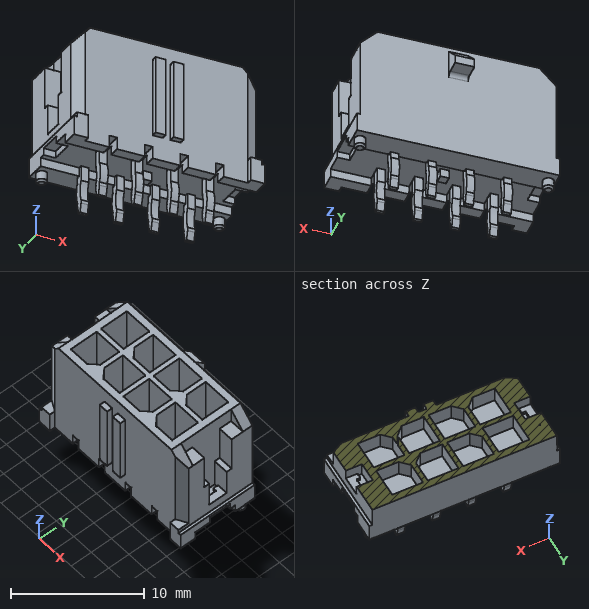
import cadquery as cq
import math


HEIGHT = 9.91
LENGTH = 15.64
DEPTH = 6.87
FRONT_Y = -DEPTH / 2
BACK_Y = DEPTH / 2
HALF_LENGTH = LENGTH / 2
CORE_HALF_LENGTH = 6.455
CORNER_POST_DEPTH = 0.95
SHOULDER_Z = 8.51

CHANNEL_WIDTH = 2.71
CHANNEL_STEP_Z = 5.02
LOWER_CHANNEL_WIDTH = 1.72
CHANNEL_FLOOR_Z = 2.5
CLIP_HOLE_LENGTH = 0.37
CLIP_HOLE_NOTCH_LENGTH = 0.69
CLIP_HOLE_NOTCH_WIDTH = 0.8
CLIP_HOLE_FLOOR_Z = 2.25

CORNER_CHAMFER_X = 0.95
CORNER_CHAMFER_Y = 0.52
FOOT_TOP_Z = 1.98
FRONT_PROJECTION = 0.5

FLANGE_LENGTH = 16.15
FLANGE_TOP_Z = 1.62
UNDERSIDE_CHANNEL_Z = 0.73
UNDERSIDE_CHANNEL_BACK_Y = 1.49
UNDERSIDE_CHANNEL_FRONT_Y = -2.48
FLANGE_NOTCH_WIDTH = 2.0
FLANGE_NOTCH_TOP_Z = 1.3
FLANGE_NOTCH_LENGTH = 1.0
STANDOFF_WIDTH = 0.69

COLUMNS = 4
PITCH = 3.0
CAVITY_SIZE = 2.57
CAVITY_FLOOR_Z = 2.0
CAVITY_CHAMFER = 0.7
BACK_ROW_KEYS = (None, "left", "right", "left")
FRONT_ROW_KEYS = ("right", "left", "right", "left")
PIN_WIDTH = 0.65
PIN_THICKNESS = 0.63
PIN_SLOT_TOP_Z = 1.0
PIN_BEND_TOP_Z = -0.52
PIN_BEND_BOTTOM_Z = -2.19
PIN_TAPER_Z = -2.45
PIN_TIP_Z = -3.18
PIN_BEND = 0.165
PIN_TIP_THICKNESS = 0.28

RIB_WIDTH = 0.85
RIB_SPACING = 1.51

LATCH_WIDTH = 1.54
LATCH_PROJECTION = 1.4
LATCH_TOP_Z = 9.53
LATCH_BOTTOM_Z = 7.41
LATCH_FILLET = 0.33

PEG_DIAMETER = 0.88
PEG_LENGTH = 0.84
PEG_CHAMFER = 0.16
PEG_X = 7.5
PEG_BACK_INSET = 0.98
PEG_Y = BACK_Y - PEG_BACK_INSET

SIDES = (-1, 1)


def box(x0, x1, y0, y1, z0, z1):
    """Box between opposite corner coordinates, in any order along X."""
    return (
        cq.Workplane("XY")
        .box(abs(x1 - x0), y1 - y0, z1 - z0, centered=False)
        .translate((min(x0, x1), y0, z0))
    )


def column_x(column):
    """X position of a terminal column, with the columns centered on the origin."""
    return (column - (COLUMNS - 1) / 2) * PITCH


def housing_shell():
    """Solid block with its upper ends sloped."""
    return (
        cq.Workplane("XZ", origin=(0, BACK_Y, 0))
        .moveTo(-HALF_LENGTH, 0)
        .lineTo(-HALF_LENGTH, SHOULDER_Z)
        .lineTo(-CORE_HALF_LENGTH, HEIGHT)
        .lineTo(CORE_HALF_LENGTH, HEIGHT)
        .lineTo(HALF_LENGTH, SHOULDER_Z)
        .lineTo(HALF_LENGTH, 0)
        .close()
        .extrude(DEPTH)
    )


def end_channel(side):
    """Shoulder gap, stepped channel and clip hole removed from one end."""
    inner = side * CORE_HALF_LENGTH
    outer = side * HALF_LENGTH
    gap = DEPTH / 2 - CORNER_POST_DEPTH
    upper = CHANNEL_WIDTH / 2
    lower = LOWER_CHANNEL_WIDTH / 2
    notch = CLIP_HOLE_NOTCH_WIDTH / 2
    hole_end = inner + side * CLIP_HOLE_LENGTH
    notch_end = inner + side * CLIP_HOLE_NOTCH_LENGTH
    return (
        box(inner, outer, -gap, gap, SHOULDER_Z, HEIGHT)
        .union(box(inner, outer, -upper, upper, CHANNEL_STEP_Z, HEIGHT))
        .union(box(inner, outer, -lower, lower, CHANNEL_FLOOR_Z, HEIGHT))
        .union(box(inner, hole_end, -lower, lower, CLIP_HOLE_FLOOR_Z, HEIGHT))
        .union(box(inner, notch_end, -notch, notch, CLIP_HOLE_FLOOR_Z, HEIGHT))
    )


def front_corner(side):
    """Wedge removed from one front vertical corner above the foot."""
    outer = side * HALF_LENGTH
    return (
        cq.Workplane("XY", origin=(0, 0, FOOT_TOP_Z))
        .moveTo(outer, FRONT_Y)
        .lineTo(outer, FRONT_Y + CORNER_CHAMFER_Y)
        .lineTo(outer - side * CORNER_CHAMFER_X, FRONT_Y)
        .close()
        .extrude(HEIGHT - FOOT_TOP_Z)
    )


def foot_and_flange(side):
    """Front foot and full-depth side flange of one end."""
    foot_inner = side * (HALF_LENGTH - CORNER_CHAMFER_X)
    outer = side * HALF_LENGTH
    flange_outer = side * FLANGE_LENGTH / 2
    toe_y = FRONT_Y - FRONT_PROJECTION
    foot = box(foot_inner, outer, toe_y, FRONT_Y, 0, FOOT_TOP_Z)
    return foot.union(box(outer, flange_outer, toe_y, BACK_Y, 0, FLANGE_TOP_Z))


def underside_channel():
    """Channel along the whole underside."""
    end = FLANGE_LENGTH / 2
    return box(-end, end, UNDERSIDE_CHANNEL_FRONT_Y, UNDERSIDE_CHANNEL_BACK_Y, 0, UNDERSIDE_CHANNEL_Z)


def flange_notch(side):
    """Shallow notch above the underside channel at one end."""
    outer = side * FLANGE_LENGTH / 2
    half = FLANGE_NOTCH_WIDTH / 2
    inner = outer - side * FLANGE_NOTCH_LENGTH
    return box(inner, outer, -half, half, 0, FLANGE_NOTCH_TOP_Z)


def cavity(x, y, key):
    """Terminal cavity, with one front corner cut off if keyed."""
    pocket = (
        cq.Workplane("XY", origin=(x, y, CAVITY_FLOOR_Z))
        .rect(CAVITY_SIZE, CAVITY_SIZE)
        .extrude(HEIGHT - CAVITY_FLOOR_Z)
    )
    if key == "left":
        return pocket.edges("|Z and <X and <Y").chamfer(CAVITY_CHAMFER)
    if key == "right":
        return pocket.edges("|Z and >X and <Y").chamfer(CAVITY_CHAMFER)
    return pocket


def pin(x, row):
    """Kinked solder pin; row is +1 at the back and -1 at the front."""
    center = row * PITCH / 2
    outer = center + row * PIN_THICKNESS / 2
    inner = center - row * PIN_THICKNESS / 2
    bow = row * PIN_BEND
    tip = row * PIN_TIP_THICKNESS / 2
    bend_middle_z = (PIN_BEND_TOP_Z + PIN_BEND_BOTTOM_Z) / 2
    return (
        cq.Workplane("YZ", origin=(x - PIN_WIDTH / 2, 0, 0))
        .moveTo(outer, PIN_SLOT_TOP_Z)
        .lineTo(outer, PIN_BEND_TOP_Z)
        .threePointArc((outer + bow, bend_middle_z), (outer, PIN_BEND_BOTTOM_Z))
        .lineTo(outer, PIN_TAPER_Z)
        .lineTo(center + tip, PIN_TIP_Z)
        .lineTo(center - tip, PIN_TIP_Z)
        .lineTo(inner, PIN_TAPER_Z)
        .lineTo(inner, PIN_BEND_BOTTOM_Z)
        .threePointArc((inner + bow, bend_middle_z), (inner, PIN_BEND_TOP_Z))
        .lineTo(inner, PIN_SLOT_TOP_Z)
        .close()
        .extrude(PIN_WIDTH)
    )


def pin_slot(x):
    """Slot through the front wall, back to the middle of a front pin."""
    half = PIN_WIDTH / 2
    return box(x - half, x + half, FRONT_Y, -PITCH / 2, 0, PIN_SLOT_TOP_Z)


def standoff():
    """Post in the middle of the underside channel."""
    half = STANDOFF_WIDTH / 2
    return box(-half, half, -half, half, 0, UNDERSIDE_CHANNEL_Z)


def keying_rib(side):
    """Vertical rib on the front wall."""
    x = side * RIB_SPACING / 2
    half = RIB_WIDTH / 2
    return box(x - half, x + half, FRONT_Y - FRONT_PROJECTION, FRONT_Y, FOOT_TOP_Z, SHOULDER_Z)


def latch():
    """45-degree latch ramp with a filleted underside root."""
    tip_y = BACK_Y + LATCH_PROJECTION
    arc_offset = LATCH_FILLET * (1 - math.sqrt(0.5))
    return (
        cq.Workplane("YZ", origin=(-LATCH_WIDTH / 2, 0, 0))
        .moveTo(BACK_Y, LATCH_TOP_Z)
        .lineTo(tip_y, LATCH_TOP_Z - LATCH_PROJECTION)
        .lineTo(tip_y, LATCH_BOTTOM_Z)
        .lineTo(BACK_Y + LATCH_FILLET, LATCH_BOTTOM_Z)
        .threePointArc(
            (BACK_Y + arc_offset, LATCH_BOTTOM_Z - arc_offset),
            (BACK_Y, LATCH_BOTTOM_Z - LATCH_FILLET),
        )
        .close()
        .extrude(LATCH_WIDTH)
    )


def locating_peg(side):
    """Round peg below one flange, chamfered at its tip."""
    return (
        cq.Workplane("XY", origin=(side * PEG_X, PEG_Y, -PEG_LENGTH))
        .circle(PEG_DIAMETER / 2)
        .extrude(PEG_LENGTH)
        .faces("<Z")
        .chamfer(PEG_CHAMFER)
    )


body = housing_shell()
for side in SIDES:
    body = body.cut(end_channel(side)).cut(front_corner(side))
    body = body.union(foot_and_flange(side))

body = body.cut(underside_channel())
for side in SIDES:
    body = body.cut(flange_notch(side)).union(keying_rib(side)).union(locating_peg(side))

body = body.union(standoff()).union(latch())

for column in range(COLUMNS):
    x = column_x(column)
    body = body.cut(cavity(x, PITCH / 2, BACK_ROW_KEYS[column]))
    body = body.cut(cavity(x, -PITCH / 2, FRONT_ROW_KEYS[column]))
    body = body.cut(pin_slot(x))
    for row in SIDES:
        body = body.union(pin(x, row))

result = body